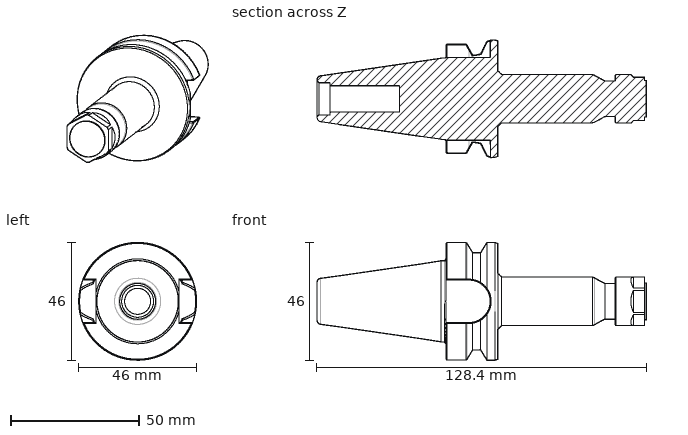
import cadquery as cq
import math

tolerance = 0.01

length = 128.4

taper_slope = 7 / 48
taper_length = 48.4
gauge_radius = 31.7 / 2
taper_tip_radius = gauge_radius - taper_length * taper_slope
taper_tip_fillet = 1.7
collar_radius = 15.9
collar_fillet = 0.6

flange_radius = 46.0 / 2
flange_start = 50.3
flange_end = 70.5
front_rim_end = 58.5
groove_start = 60.7
groove_end = 63.8
back_rim_start = 66.3
groove_radius = 19.0
rim_chamfer = 0.4
back_chamfer_length = 1.2
back_chamfer_depth = 0.4

slot_width = 16.5
slot_floor = 16.2
slot_tip = 67.5
slot_chamfer = 0.4
slot_tip_radius = slot_width / 2
slot_arc_center = slot_tip - slot_tip_radius

body_radius = 19.0 / 2
body_root_chamfer = 1.5
body_end = 107.3
body_fillet_length = 0.8
body_fillet_drop = 0.3
neck_radius = 14.0 / 2
neck_start = 112.2

nut_start = 116.2
nut_chamfer = 0.4
hex_start = 123.4
hex_end = 127.8
across_flats = 17.0
flat_count = 6
nose_radius = 7.2

mouth_radius = 14.0 / 2
countersink_depth = 0.8
bore_radius = 12.5 / 2
bore_depth = 5.0
thread_radius = 10.1 / 2
thread_depth = 32.1


def revolve_about_x(outline):
    return outline.close().revolve(360, (0, 0, 0), (1, 0, 0))


def turned_blank():
    outline = (
        cq.Workplane("XY")
        .lineTo(0, taper_tip_radius)
        .lineTo(taper_length, gauge_radius)
        .lineTo(taper_length, collar_radius)
        .lineTo(flange_start - collar_fillet, collar_radius)
        .radiusArc((flange_start, collar_radius + collar_fillet), -collar_fillet)
        .lineTo(flange_start, flange_radius - rim_chamfer)
        .lineTo(flange_start + rim_chamfer, flange_radius)
        .lineTo(front_rim_end - rim_chamfer, flange_radius)
        .lineTo(front_rim_end, flange_radius - rim_chamfer)
        .lineTo(groove_start, groove_radius)
        .lineTo(groove_end, groove_radius)
        .lineTo(back_rim_start, flange_radius)
        .lineTo(flange_end - back_chamfer_length, flange_radius)
        .lineTo(flange_end, flange_radius - back_chamfer_depth)
        .lineTo(flange_end, body_radius + body_root_chamfer)
        .lineTo(flange_end + body_root_chamfer, body_radius)
        .lineTo(body_end, body_radius)
        .lineTo(body_end + body_fillet_length, body_radius - body_fillet_drop)
        .lineTo(neck_start, neck_radius)
        .lineTo(nut_start, neck_radius)
        .lineTo(nut_start, body_radius - nut_chamfer)
        .lineTo(nut_start + nut_chamfer, body_radius)
        .lineTo(hex_end, body_radius)
        .lineTo(hex_end, nose_radius)
        .lineTo(length, nose_radius)
        .lineTo(length, 0)
    )
    return revolve_about_x(outline)


def drive_slot(side):
    return (
        cq.Workplane("XZ", origin=(0, side * slot_floor, 0))
        .moveTo(taper_length, -slot_tip_radius)
        .lineTo(slot_arc_center, -slot_tip_radius)
        .threePointArc((slot_tip, 0), (slot_arc_center, slot_tip_radius))
        .lineTo(taper_length, slot_tip_radius)
        .close()
        .extrude(-side * flange_radius)
    )


def is_slot_rim(edge):
    """True for the outer edges of the slot walls, which lie one tip radius from the slot's middle line."""
    middle = edge.positionAt(0.5)
    beyond_center = middle.x - slot_arc_center
    from_middle_line = math.hypot(max(beyond_center, 0), middle.z)
    on_wall = abs(from_middle_line - slot_tip_radius) < tolerance
    above_floor = abs(middle.y) > slot_floor + tolerance
    on_tangent_line = abs(beyond_center) < tolerance
    return on_wall and above_floor and not on_tangent_line


def hex_flat(angle):
    """Cutter for one wrench flat, running out at 45 degrees through the round of the nut."""
    flat = across_flats / 2
    cut_height = 2 * (body_radius - flat)
    return (
        cq.Workplane("XY")
        .moveTo(hex_start, flat)
        .lineTo(hex_start - cut_height, flat + cut_height)
        .lineTo(length, flat + cut_height)
        .lineTo(length, flat)
        .close()
        .extrude(body_radius, both=True)
        .rotate((0, 0, 0), (1, 0, 0), angle)
    )


def bore():
    outline = (
        cq.Workplane("XY")
        .lineTo(0, mouth_radius)
        .lineTo(countersink_depth, bore_radius)
        .lineTo(bore_depth, bore_radius)
        .lineTo(bore_depth, thread_radius)
        .lineTo(thread_depth, thread_radius)
        .lineTo(thread_depth, 0)
    )
    return revolve_about_x(outline)


result = turned_blank().faces("<X").edges().fillet(taper_tip_fillet)
for side in (-1, 1):
    result = result.cut(drive_slot(side))
slot_rim = [edge for edge in result.edges().vals() if is_slot_rim(edge)]
result = result.newObject(slot_rim).chamfer(slot_chamfer)
for index in range(flat_count):
    result = result.cut(hex_flat(360 / flat_count * index))
result = result.cut(bore())